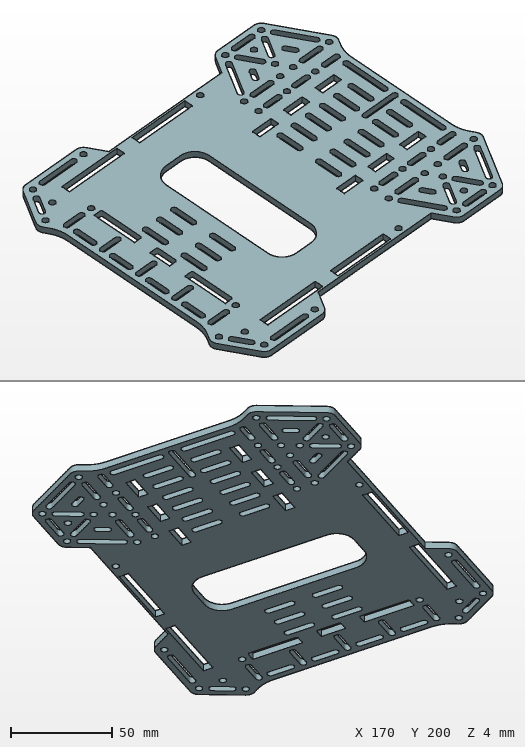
import cadquery as cq
import math

thickness = 4.0
waist_half_width = 72.5
ear_angle = 30.0
ear_radius = 5.0
valley_radius = 20.0

side_hole_x = 80.0
hole_diameter = 3.5
rear_tip_x = 50.0
front_tip_x = 60.0
tip_hole_y = 95.0
rear_ear_y = 65.0
front_side_hole_y = -47.8

slope = math.tan(math.radians(ear_angle))
rim_rise = ear_radius / math.cos(math.radians(ear_angle))
ear_half_width = side_hole_x + ear_radius
rear_side_hole_y = tip_hole_y - (side_hole_x - rear_tip_x) * slope
front_outer_hole_y = -tip_hole_y + (side_hole_x - front_tip_x) * slope

rear_tip_hole = (rear_tip_x, tip_hole_y)
rear_side_hole = (side_hole_x, rear_side_hole_y)
rear_inboard_hole = (rear_tip_x, 69.5)
rear_center_hole = (side_hole_x - (rear_side_hole_y - rear_ear_y) / slope, rear_ear_y)
front_inner_hole = (side_hole_x, front_side_hole_y)
front_outer_hole = (side_hole_x, front_outer_hole_y)
front_tip_hole = (front_tip_x, -tip_hole_y)

slot_width = 3.5
rear_edge_slot_length = 25.0
rear_brace_slot_length = 15.8
rear_inboard_slot_length = 15.5
rear_short_slot_center = (60.0, 77.8)
rear_short_slot_length = 8.5
rear_side_slot_length = 15.5
rear_column_x = 40.0
rear_column_slot_length = 11.8
front_edge_slot_length = 13.5
front_side_slot_length = 25.5
rear_end_slot_reach = 35.0
center_slot_y = 80.0
center_slot_length = 24.0
front_slot_pitch = 25.0
front_upright_y = -85.0
front_upright_length = 13.8
front_flat_y = -90.0
front_flat_length = 15.0
window_width = 5.2
side_window_x = 68.5
rear_window_x = 29.2
rear_window_length = 13.2
rear_side_window_length = 37.2
front_side_window_length = 38.8
front_window_x = 31.5
front_window_length = 28.0
middle_window_length = 13.5
front_window_y = -73.0
front_window_fillet = 1.0
slot_pitch = 10.0
row_slot_length = 16.5
row_slot_x = 13.5
rear_row_y = 80.0
rear_row_count = 6
front_row_y = -45.0
front_row_count = 3
row_inner_end = row_slot_x - row_slot_length / 2

opening_width = 90.0
opening_depth = 30.0
opening_y = -20.0
opening_radius = 10.0


def both_sides(points):
    """The points together with their mirror images across the YZ plane."""
    return points + [(-x, y) for x, y in points]


def about_rear_ear(points):
    """The points together with their mirror images across the middle of the rear ears."""
    return points + [(x, 2 * rear_ear_y - y) for x, y in points]


def slots(centers, length, angle=0.0):
    """Round-ended slots on the right half and their mirror images."""
    right = cq.Workplane("XY").pushPoints(centers).slot2D(length, slot_width, angle).extrude(thickness)
    return right.union(right.mirror("YZ"))


def slot_between_holes(first, second, length):
    """A slot midway between two holes and in line with them, and its mirror image."""
    middle = ((first[0] + second[0]) / 2, (first[1] + second[1]) / 2)
    angle = math.degrees(math.atan2(second[1] - first[1], second[0] - first[0]))
    return slots([middle], length, angle)


def slot_along_x(x_start, x_end, y):
    return slots([((x_start + x_end) / 2, y)], x_end - x_start)


def windows(centers, width, length):
    """Rectangular windows on both sides."""
    return cq.Workplane("XY").pushPoints(both_sides(centers)).rect(width, length).extrude(thickness)


def make_plate():
    rear_peak_y = tip_hole_y + rim_rise
    rear_valley = (rear_tip_x - rim_rise / slope, tip_hole_y)
    rear_tip = (rear_tip_x, rear_peak_y)
    rear_outer = (ear_half_width, rear_peak_y - (ear_half_width - rear_tip_x) * slope)
    rear_inner = (ear_half_width, 2 * rear_ear_y - rear_outer[1])
    ear_step = (ear_half_width - waist_half_width) * slope
    rear_waist = (waist_half_width, rear_inner[1] - ear_step)

    front_inner = (ear_half_width, front_side_hole_y + rim_rise - ear_radius * slope)
    front_waist = (waist_half_width, front_inner[1] + ear_step)
    front_tip = (front_tip_x, -rear_peak_y)
    front_outer = (ear_half_width, -rear_peak_y + (ear_half_width - front_tip_x) * slope)
    front_valley = (front_tip_x - rim_rise / slope, -tip_hole_y)

    right = [rear_valley, rear_tip, rear_outer, rear_inner, rear_waist,
             front_waist, front_inner, front_outer, front_tip, front_valley]
    left = [(-x, y) for x, y in reversed(right)]
    plate = cq.Workplane("XY").polyline(right + left).close().extrude(thickness)

    rims = [rear_tip, rear_outer, rear_inner, front_inner, front_outer, front_tip]
    for corners, radius in ((rims, ear_radius), ([rear_valley, front_valley], valley_radius)):
        for x, y in both_sides(corners):
            corner = cq.selectors.NearestToPointSelector((x, y, thickness / 2))
            plate = plate.edges(corner).fillet(radius)
    return plate


def make_holes():
    rear_ear = about_rear_ear([rear_tip_hole, rear_side_hole, rear_inboard_hole])
    rear_middle = [rear_center_hole, (72.5, rear_ear_y)]
    rear_column = [(rear_column_x, y) for y in (75.0, 55.0, 35.0)]
    waist = [(side_window_x, 23.0)]
    front_ear = [front_inner_hole, front_outer_hole, front_tip_hole, (66.5, front_outer_hole_y)]
    front_deck = [(2 * front_slot_pitch, front_window_y)]
    points = both_sides(rear_ear + rear_middle + rear_column + waist + front_ear + front_deck)
    return cq.Workplane("XY").pushPoints(points).circle(hole_diameter / 2).extrude(thickness)


def rear_ear_slots():
    upper = [
        slot_between_holes(rear_tip_hole, rear_side_hole, rear_edge_slot_length),
        slot_between_holes(rear_center_hole, rear_side_hole, rear_brace_slot_length),
        slot_between_holes(rear_inboard_hole, rear_tip_hole, rear_inboard_slot_length),
        slots([rear_short_slot_center], rear_short_slot_length, -ear_angle),
    ]
    lower = [slot.mirror("XZ", (0, rear_ear_y, 0)) for slot in upper]
    middle = slots([(side_hole_x, rear_ear_y)], rear_side_slot_length, 90)
    column = slots([(rear_column_x, y) for y in (86.0, rear_ear_y, 45.0)], rear_column_slot_length, 90)
    return upper + lower + [middle, column]


def front_ear_slots():
    return [
        slot_between_holes(front_tip_hole, front_outer_hole, front_edge_slot_length),
        slot_between_holes(front_inner_hole, front_outer_hole, front_side_slot_length),
    ]


def rear_deck_cuts():
    rows = [(row_slot_x, rear_row_y - i * slot_pitch) for i in range(rear_row_count)]
    return [
        slots(rows, row_slot_length),
        slot_along_x(row_inner_end, rear_end_slot_reach, rear_row_y + slot_pitch),
        slots([(0.0, center_slot_y)], center_slot_length, 90),
        windows([(rear_window_x, y) for y in (73.2, 50.8, 28.8)], window_width, rear_window_length),
    ]


def waist_cuts():
    opening = cq.Workplane("XY").center(0, opening_y).rect(opening_width, opening_depth).extrude(thickness)
    return [
        opening.edges("|Z").fillet(opening_radius),
        windows([(side_window_x, -3.8)], window_width, rear_side_window_length),
        windows([(side_window_x, -52.5)], window_width, front_side_window_length),
    ]


def front_deck_cuts():
    rows = [(row_slot_x, front_row_y - i * slot_pitch) for i in range(front_row_count)]
    outer_windows = windows([(front_window_x, front_window_y)], front_window_length, window_width)
    middle_window = (
        cq.Workplane("XY")
        .center(0, front_window_y)
        .rect(middle_window_length, window_width)
        .extrude(thickness)
    )
    return [
        slots(rows, row_slot_length),
        outer_windows.edges("|Z and >Y").fillet(front_window_fillet),
        middle_window.edges("|Z and >Y").fillet(front_window_fillet),
        slots([(i * front_slot_pitch, front_upright_y) for i in range(3)], front_upright_length, 90),
        slots([((i + 0.5) * front_slot_pitch, front_flat_y) for i in range(2)], front_flat_length),
    ]


result = make_plate().cut(make_holes())
for cut in rear_ear_slots() + front_ear_slots() + rear_deck_cuts() + waist_cuts() + front_deck_cuts():
    result = result.cut(cut)